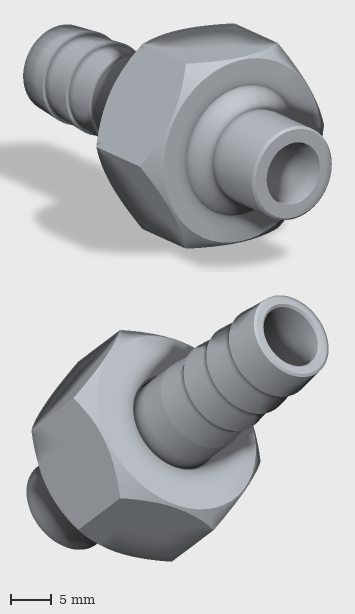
import cadquery as cq
import math

total_length = 50.0
tube_diameter = 12.0
bore_diameter = 8.0
edge_break = 0.3

barb_pitch = 5.0
barb_count = 4
barb_root_diameter = 11.1
barb_groove_length = 0.45
tip_chamfer_depth = 0.35
tip_chamfer_length = 0.2
flange_diameter = 14.95
flange_thickness = 3.0

nut_start = 25.5
nut_length = 13.5
nut_across_flats = 24.0
nut_face_diameter = 23.5
nut_hole_diameter = 12.3
nut_lip_thickness = 2.5
nut_socket_diameter = 16.6

nut_end = nut_start + nut_length
nut_across_corners = nut_across_flats / math.cos(math.pi / 6)
flange_start = nut_start + nut_lip_thickness
joint_position = flange_start + flange_thickness
shoulder_end = nut_end + (nut_socket_diameter - tube_diameter) / 2


def cylinder_along_x(diameter, start, end):
    """Solid round bar on the X axis between two positions."""
    return cq.Workplane("YZ", origin=(start, 0, 0)).circle(diameter / 2).extrude(end - start)


def revolve_about_x(points):
    """Solid of revolution from (axial position, radius) points."""
    return cq.Workplane("XY").polyline(points).close().revolve(360, (0, 0, 0), (1, 0, 0))


def make_hose_tail():
    """Barbed tube with a chamfered mouth and a flange held behind the nut lip."""
    root_radius = barb_root_diameter / 2
    crest_radius = tube_diameter / 2
    bore_radius = bore_diameter / 2
    flange_radius = flange_diameter / 2
    profile = [
        (edge_break, bore_radius),
        (0, bore_radius + edge_break),
        (0, root_radius - tip_chamfer_depth),
        (tip_chamfer_length, root_radius),
    ]
    for barb in range(1, barb_count):
        crest_position = barb * barb_pitch
        profile.append((crest_position, crest_radius))
        profile.append((crest_position, root_radius))
        profile.append((crest_position + barb_groove_length, root_radius))
    profile += [
        (barb_count * barb_pitch, crest_radius),
        (flange_start, crest_radius),
        (flange_start, flange_radius),
        (joint_position, flange_radius),
        (joint_position, bore_radius),
    ]
    return revolve_about_x(profile)


def make_union_nut():
    """Hexagon with 45 degree corner chamfers, a retaining lip and a socket."""
    hexagon = (
        cq.Workplane("YZ", origin=(nut_start, 0, 0))
        .polygon(6, nut_across_corners)
        .extrude(nut_length)
    )
    corner_chamfer = (nut_across_corners - nut_face_diameter) / 2
    chamfer_envelope = (
        cylinder_along_x(nut_across_corners, nut_start, nut_end)
        .faces("<X or >X")
        .chamfer(corner_chamfer)
    )
    lip_hole = cylinder_along_x(nut_hole_diameter, nut_start, nut_end)
    socket = cylinder_along_x(nut_socket_diameter, flange_start, nut_end)
    nut = hexagon.intersect(chamfer_envelope).cut(lip_hole).cut(socket)
    smallest_rim = cq.selectors.RadiusNthSelector(0)
    return nut.faces("<X").edges("%CIRCLE").edges(smallest_rim).chamfer(edge_break).solids()


def make_end_nipple():
    """Body filling the nut socket, with a conical shoulder down to a plain spigot."""
    socket_radius = nut_socket_diameter / 2
    spigot_radius = tube_diameter / 2
    bore_radius = bore_diameter / 2
    return revolve_about_x([
        (joint_position, bore_radius),
        (joint_position, socket_radius),
        (nut_end, socket_radius),
        (shoulder_end, spigot_radius),
        (total_length - edge_break, spigot_radius),
        (total_length, spigot_radius - edge_break),
        (total_length, bore_radius),
    ])


hose_tail = make_hose_tail()
union_nut = make_union_nut()
end_nipple = make_end_nipple()

result = cq.Compound.makeCompound([hose_tail.val(), union_nut.val(), end_nipple.val()])